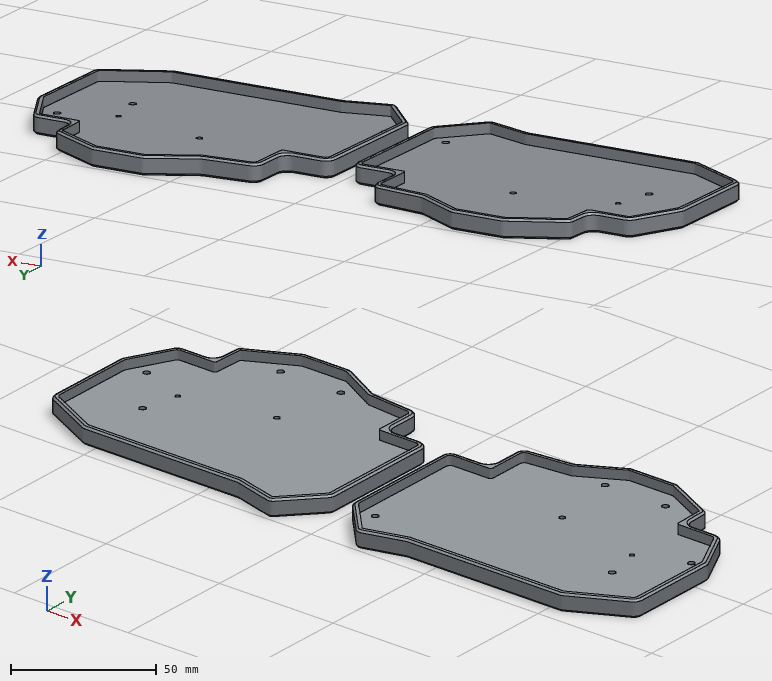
import math

import cadquery as cq

TOTAL_LENGTH = 258.5
TRAY_HEIGHT = 7.0
FLOOR_THICKNESS = 3.0
WALL_THICKNESS = 2.0
RIM_CHAMFER = 0.8

ROUND_RADIUS = 4.0
SMALL_RADIUS = 2.5
CAVITY_NOTCH_RADIUS = 1.0

OUTER_X = -TOTAL_LENGTH / 2
INNER_X = -4.5
FRONT_Y = -44.0
BACK_Y = 48.5
OUTER_NOTCH_Y = 25.8
INNER_NOTCH_X = -22.7
INNER_NOTCH_Y = 19.6

CORNERS = [
    (OUTER_X, -31.8, ROUND_RADIUS),
    (-105.2, FRONT_Y, SMALL_RADIUS),
    (-37.2, FRONT_Y, SMALL_RADIUS),
    (-19.0, -48.9, SMALL_RADIUS),
    (INNER_X, -32.8, ROUND_RADIUS),
    (INNER_X, INNER_NOTCH_Y, ROUND_RADIUS),
    (INNER_NOTCH_X, INNER_NOTCH_Y, ROUND_RADIUS),
    (INNER_NOTCH_X, 37.0, ROUND_RADIUS),
    (-44.2, 39.0, ROUND_RADIUS),
    (-61.8, BACK_Y, SMALL_RADIUS),
    (-82.2, BACK_Y, SMALL_RADIUS),
    (-103.1, 38.0, SMALL_RADIUS),
    (-103.6, OUTER_NOTCH_Y, ROUND_RADIUS),
    (-119.5, OUTER_NOTCH_Y, ROUND_RADIUS),
    (OUTER_X, 6.5, ROUND_RADIUS),
]

LARGE_HOLE = 2.5
MEDIUM_HOLE = 2.2
SMALL_HOLE = 1.8
HOLES = [
    (-84.8, 38.5, LARGE_HOLE),
    (-58.2, 38.5, LARGE_HOLE),
    (-120.0, 9.0, LARGE_HOLE),
    (-103.5, -13.7, LARGE_HOLE),
    (-12.1, -30.0, LARGE_HOLE),
    (-62.8, 9.3, MEDIUM_HOLE),
    (-100.0, 1.3, SMALL_HOLE),
]


def rounded_prism(corners, base_z, height):
    """Upright prism through the sharp corners, each upright edge rounded by its own radius."""
    outline = [(x, y) for x, y, _ in corners]
    prism = cq.Workplane("XY", origin=(0, 0, base_z)).polyline(outline).close().extrude(height)
    for x, y, radius in corners:
        prism = prism.edges(cq.NearestToPointSelector((x, y, base_z + height / 2))).fillet(radius)
    return prism


def cavity_corners():
    """Tray corners moved inward by the wall thickness, with the radii of the cavity."""
    moved = []
    for i, (x, y, radius) in enumerate(CORNERS):
        previous_x, previous_y, _ = CORNERS[i - 1]
        next_x, next_y, _ = CORNERS[(i + 1) % len(CORNERS)]
        angle_in = math.atan2(y - previous_y, x - previous_x)
        angle_out = math.atan2(next_y - y, next_x - x)
        half_turn = math.remainder(angle_out - angle_in, math.tau) / 2
        miter = WALL_THICKNESS / math.cos(half_turn)
        inward = angle_in + half_turn + math.pi / 2
        inner_radius = radius - WALL_THICKNESS if half_turn > 0 else CAVITY_NOTCH_RADIUS
        moved.append((x + miter * math.cos(inward), y + miter * math.sin(inward), inner_radius))
    return moved


def tray():
    """Open tray at -X with chamfered outer edges and holes through its floor."""
    body = rounded_prism(CORNERS, 0, TRAY_HEIGHT).faces("<Z or >Z").edges().chamfer(RIM_CHAMFER)
    body = body.cut(rounded_prism(cavity_corners(), FLOOR_THICKNESS, TRAY_HEIGHT))
    for x, y, diameter in HOLES:
        body = body.cut(cq.Workplane("XY").center(x, y).circle(diameter / 2).extrude(TRAY_HEIGHT))
    return body


left_tray = tray()
right_tray = left_tray.mirror("YZ")
result = cq.Compound.makeCompound([left_tray.val(), right_tray.val()])